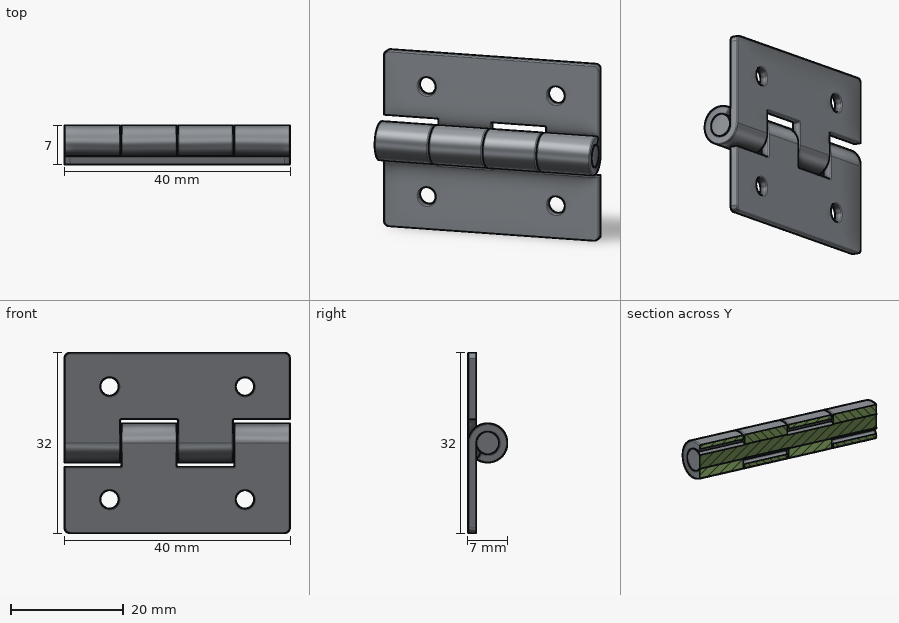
import cadquery as cq
import math

hinge_length = 40.0
open_height = 32.0
thickness = 1.5
pin_radius = 2.0
knuckle_count = 4
knuckle_gap = 0.2
tip_clearance = 0.02
notch_depth_from_axis = 4.2
corner_radius = 1.0
edge_rounding = 0.2
hole_diameter = 3.2
hole_spacing = 24.0
hole_height = 10.0
tolerance = 0.001

leaf_height = open_height / 2
barrel_radius = pin_radius + thickness
knuckle_pitch = hinge_length / knuckle_count
tip_angle = math.acos((tip_clearance - pin_radius) / barrel_radius)


def polar(radius, angle):
    """Point in the YZ plane at an angle measured from +Y towards +Z."""
    return (radius * math.cos(angle), radius * math.sin(angle))


def leaf_blank():
    """Plate tangent to a barrel curled around the pin, over the full length."""
    middle_angle = (tip_angle - math.pi) / 2
    return (
        cq.Workplane("YZ", origin=(-hinge_length / 2, 0, 0))
        .moveTo(-barrel_radius, leaf_height)
        .lineTo(-barrel_radius, 0)
        .threePointArc(polar(barrel_radius, middle_angle), polar(barrel_radius, tip_angle))
        .lineTo(*polar(pin_radius, tip_angle))
        .threePointArc(polar(pin_radius, middle_angle), (-pin_radius, 0))
        .lineTo(-pin_radius, leaf_height)
        .close()
        .extrude(hinge_length)
    )


def knuckle_notches():
    """Clearance for the other leaf's knuckles, at every second knuckle place."""
    notch_width = knuckle_pitch + knuckle_gap
    notch_height = barrel_radius + notch_depth_from_axis
    notch_z = (notch_depth_from_axis - barrel_radius) / 2
    centers = [
        (-hinge_length / 2 + (place + 0.5) * knuckle_pitch, notch_z)
        for place in range(1, knuckle_count, 2)
    ]
    return (
        cq.Workplane("XZ")
        .pushPoints(centers)
        .rect(notch_width, notch_height)
        .extrude(barrel_radius, both=True)
    )


def screw_holes():
    """Two plain through holes, side by side in the plate."""
    return (
        cq.Workplane("XZ")
        .pushPoints([(-hole_spacing / 2, hole_height), (hole_spacing / 2, hole_height)])
        .circle(hole_diameter / 2)
        .extrude(barrel_radius)
    )


def is_sharp(edge):
    """False for hole seams and for lines where the plate runs smoothly into the barrel."""
    box = edge.BoundingBox()
    is_level = box.zlen < tolerance
    smooth_join = is_level and abs(box.zmin) < tolerance
    hole_seam = is_level and abs(box.zmin - hole_height) < tolerance
    return not smooth_join and not hole_seam


def make_leaf():
    """Upper leaf, with every sharp edge slightly rounded."""
    leaf = leaf_blank().edges("|Y and >Z").fillet(corner_radius)
    leaf = leaf.cut(knuckle_notches()).cut(screw_holes())
    sharp_edges = [edge for edge in leaf.edges().vals() if is_sharp(edge)]
    return leaf.newObject(sharp_edges).fillet(edge_rounding)


def make_pin():
    """Plain round pin, flush with both ends of the hinge."""
    return cq.Workplane("YZ").circle(pin_radius).extrude(hinge_length / 2, both=True)


upper_leaf = make_leaf()
lower_leaf = upper_leaf.rotate((0, 0, 0), (0, 1, 0), 180)
pin = make_pin()

result = cq.Compound.makeCompound([upper_leaf.val(), lower_leaf.val(), pin.val()])